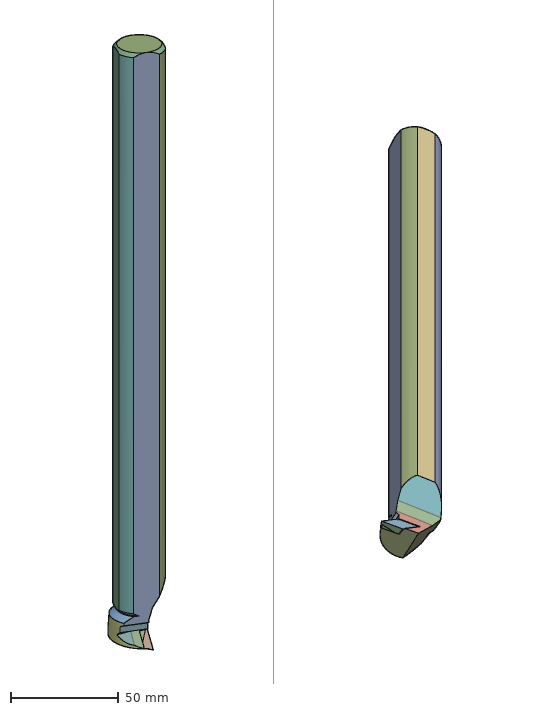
import cadquery as cq
import math

total_length = 301.2
shank_radius = 12.5
side_flat = 11.5
back_flat = 10.5
top_chamfer = 1.8

head_offset_x = 1.2
groove_top = 16.3
collar_top = 14.8
groove_radius = 11.0
collar_bottom = 12.0
neck_radius = 14.5
head_radius = 15.5
bevel_top = 17.5
bevel_foot_x = -1.2
head_bottom_left = 1.8
head_bottom_right = 0.3
head_toe_x = 16.5
toe_slope_y = -7.2
toe_slope_angle = 18
neck_bottom = 10.8
relief_x = 9.0
relief_top = 10.0
relief_bottom = 7.0
rake_y = 1.2
rake_top = 12.0
rake_knee_y = 3.0
rake_knee_z = 18.0
rake_run_out = 31.0

tip_x = 18.0
insert_edge = 11.0
insert_thickness = 4.0
insert_nose_angle = 35
lead_angle = 3
clearance_angle = 7
insert_top_y = 1.0

margin = 30.0


def make_shank():
    """Round shank with two Y flats, a +X flat, a chamfered top and the upper groove wall."""
    profile = [
        (0, collar_bottom),
        (groove_radius, collar_bottom),
        (groove_radius, collar_top),
        (shank_radius, groove_top),
        (shank_radius, total_length - top_chamfer),
        (shank_radius - top_chamfer, total_length),
        (0, total_length),
    ]
    shank = cq.Workplane("XZ").polyline(profile).close().revolve(360, (0, 0), (0, 1))
    flats = cq.Workplane("XY").box(
        back_flat + margin, 2 * side_flat, total_length, centered=(False, True, False)
    ).translate((-margin, 0, 0))
    return shank.intersect(flats)


def make_head_blank():
    """Collar and head turned about an axis offset toward the tip."""
    profile = [
        (0, 0),
        (head_radius, 0),
        (neck_radius, collar_bottom),
        (groove_radius, collar_top),
        (0, collar_top),
    ]
    blank = cq.Workplane("XZ").polyline(profile).close().revolve(360, (0, 0), (0, 1))
    return blank.translate((head_offset_x, 0, 0))


def make_side_outline():
    """Envelope in XZ: end bevel, tilted bottom, toe and notch under the shank."""
    outline = [
        (-shank_radius, total_length),
        (-shank_radius, bevel_top),
        (bevel_foot_x, head_bottom_left),
        (head_toe_x, head_bottom_right),
        (relief_x, relief_bottom),
        (relief_x, relief_top),
        (back_flat, neck_bottom),
        (back_flat, total_length),
    ]
    return cq.Workplane("XZ").polyline(outline).close().extrude(margin, both=True)


def make_rake_cut():
    """Material removed on the +Y side to open the rake face."""
    outline = [
        (rake_y, -margin),
        (rake_y, rake_top),
        (rake_knee_y, rake_knee_z),
        (side_flat, rake_run_out),
        (margin, rake_run_out),
        (margin, -margin),
    ]
    return cq.Workplane("YZ").polyline(outline).close().extrude(margin, both=True)


def make_toe_slope_cut():
    """Wedge that slopes the top of the toe down toward -Y."""
    toe_direction = (head_toe_x - relief_x, 0, head_bottom_right - relief_bottom)
    start = cq.Plane(
        origin=(relief_x, toe_slope_y, relief_bottom), xDir=(0, 1, 0), normal=toe_direction
    )
    wedge_width = head_radius
    wedge_drop = wedge_width * math.tan(math.radians(toe_slope_angle))
    wedge = [(0, 0), (-wedge_width, -wedge_drop), (-wedge_width, 0)]
    return cq.Workplane(start).polyline(wedge).close().extrude(margin)


def insert_outline():
    """Rhombus with its sharp corner at the cutting tip."""
    bottom_direction = math.radians(180 - lead_angle)
    upper_direction = math.radians(180 - lead_angle - insert_nose_angle)
    bottom_x = insert_edge * math.cos(bottom_direction)
    bottom_z = insert_edge * math.sin(bottom_direction)
    upper_x = insert_edge * math.cos(upper_direction)
    upper_z = insert_edge * math.sin(upper_direction)
    points = [
        (tip_x, 0),
        (tip_x + bottom_x, bottom_z),
        (tip_x + bottom_x + upper_x, bottom_z + upper_z),
        (tip_x + upper_x, upper_z),
    ]
    return cq.Workplane("XZ", origin=(0, insert_top_y, 0)).polyline(points).close()


def make_insert():
    """Insert whose flanks draw in toward -Y by the clearance angle."""
    return insert_outline().extrude(insert_thickness, taper=clearance_angle)


def make_bar(insert):
    """Shank and head, with a pocket that is open above the insert."""
    bar = make_shank().union(make_head_blank())
    bar = bar.intersect(make_side_outline()).cut(make_rake_cut()).cut(make_toe_slope_cut())
    return bar.cut(insert).cut(insert_outline().extrude(-margin))


cutting_insert = make_insert()
boring_bar = make_bar(cutting_insert)

result = cq.Compound.makeCompound([boring_bar.val(), cutting_insert.val()])